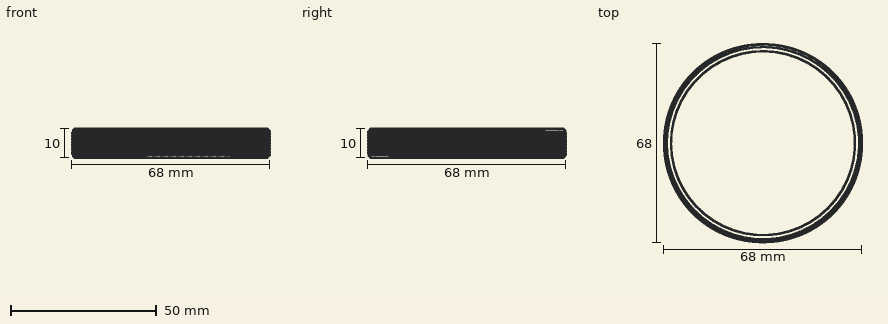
import cadquery as cq
import math

height = 10.0
outer_diameter = 68.0
bore_diameter = 63.0
end_chamfer = 1.0

turns_in_height = 10
flank_angle = 60.0
pitch = height / turns_in_height
crest_width = pitch / 8
root_width = pitch / 4
flank_run = (pitch - crest_width - root_width) / 2
flank_slope = math.tan(math.radians(flank_angle))
thread_depth = flank_run * flank_slope

outer_radius = outer_diameter / 2
root_radius = outer_radius - thread_depth
ridge_embed = 0.1
blank_clearance = 0.7


def make_thread_ridge():
    """Helical ridge running one pitch past each end of the ring, crest at z = -pitch on +X."""
    foot_radius = root_radius - ridge_embed
    foot_half_width = crest_width / 2 + flank_run + ridge_embed / flank_slope
    path = cq.Wire.makeHelix(pitch, height + 2 * pitch, root_radius, cq.Vector(0, 0, -pitch))
    profile = cq.Workplane("XZ").polyline([
        (foot_radius, -pitch - foot_half_width),
        (outer_radius, -pitch - crest_width / 2),
        (outer_radius, -pitch + crest_width / 2),
        (foot_radius, -pitch + foot_half_width),
    ]).close()
    return profile.sweep(cq.Workplane(path), isFrenet=True)


def make_blank():
    """Oversize ring whose conical ends trim the thread to the chamfered length."""
    blank_radius = outer_radius + blank_clearance
    ring = cq.Workplane("XY").circle(blank_radius).extrude(height)
    ring = ring.edges().chamfer(end_chamfer + blank_clearance)
    bore = cq.Workplane("XY").circle(bore_diameter / 2).extrude(height)
    return ring.cut(bore).rotate((0, 0, 0), (0, 0, 1), 75)


def make_core():
    """Plain cylinder at the thread root, longer than the ring at both ends."""
    core = cq.Workplane("XY").workplane(offset=-3 * pitch)
    core = core.circle(root_radius).extrude(height + 6 * pitch)
    return core.rotate((0, 0, 0), (0, 0, 1), 40)


result = make_core().union(make_thread_ridge()).intersect(make_blank())